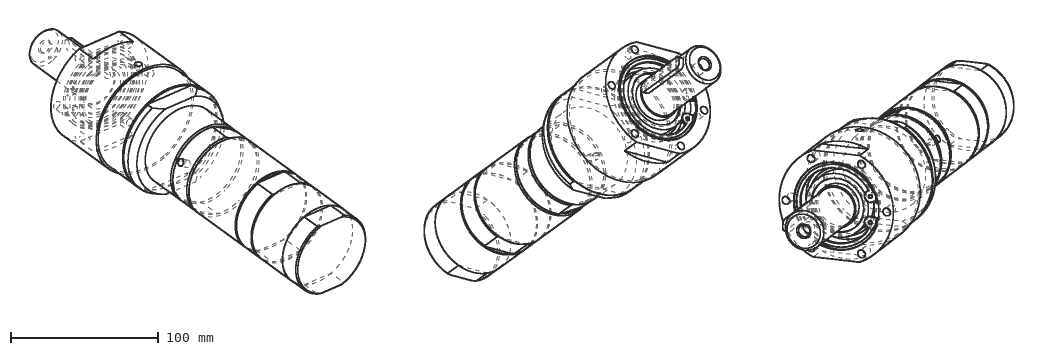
import cadquery as cq
import math


overall_length = 317.5
collar_start = 59.0
body_front = 61.0
body_flat_end = 76.5
body_step = 111.0
nut_start = 138.7
nut_bevel_start = 144.0
nut_end = 150.5
clamp_ring_start = 179.7
clamp_ring_end = 197.5
wrench_flat_start = 250.5
wrench_flat_end = 268.0
end_flat_start = 302.0

shaft_diameter = 28.0
collar_diameter = 30.0
body_diameter = 83.0
rear_body_diameter = 79.7
nut_end_diameter = 74.3
tube_diameter = 60.0
end_diameter = 59.7

shaft_chamfer = 2.0
end_chamfer = 1.0
wide_groove = 2.2
narrow_groove = 1.3

body_flat_distance = 37.8
nut_flat_distance = 35.0
tube_flat_distance = 27.5
clamp_angle = 30.0
cutter_clearance = 3.2

recess_diameter = 62.0
recess_depth = 2.0
gap_outer = 54.0
gap_step = 49.0
gap_inner = 45.0
gap_depth = 12.7
gap_step_depth = 12.0
seal_diameter = 38.0
seal_depth = 4.0
snap_ring_outer = 58.5
snap_ring_inner = 53.3
snap_ring_thickness = 1.0
snap_ring_gap = 10.8
lug_diameter = 8.3
lug_hole_diameter = 2.5
lug_y = -24.0
lug_z = 9.2

key_start = 4.8
key_length = 50.2
key_width = 8.3
key_top = 17.0

center_mouth_diameter = 10.2
center_hole_diameter = 8.3
center_hole_depth = 9.5
bolt_hole_diameter = 5.5
bolt_hole_depth = 9.5
bolt_circle_diameter = 73.0
bolt_count = 6
drill_point_angle = 118.0
radial_hole_diameter = 5.0
radial_hole_depth = 6.5
oil_hole_x = 104.0
set_screw_x = 184.5
pin_hole_diameter = 1.55


def disc(x, length, diameter):
    """Cylinder on the axis, starting at x."""
    return cq.Workplane("YZ", origin=(x, 0, 0)).circle(diameter / 2).extrude(length)


def tube(x, length, outer, inner):
    """Hollow cylinder on the axis, starting at x."""
    return disc(x, length, outer).cut(disc(x, length, inner))


def revolve_profile(points):
    """Turn a closed (x, radius) outline about the X axis."""
    return cq.Workplane("XY").polyline(points).close().revolve(360, (0, 0, 0), (1, 0, 0))


def turned_body():
    shaft_r = shaft_diameter / 2
    collar_r = collar_diameter / 2
    body_r = body_diameter / 2
    rear_r = rear_body_diameter / 2
    tube_r = tube_diameter / 2
    end_r = end_diameter / 2
    return revolve_profile([
        (0, 0),
        (0, shaft_r - shaft_chamfer),
        (shaft_chamfer, shaft_r),
        (collar_start, shaft_r),
        (collar_start, collar_r),
        (body_front, collar_r),
        (body_front, body_r),
        (body_step, body_r),
        (body_step, rear_r),
        (nut_bevel_start, rear_r),
        (nut_end, nut_end_diameter / 2),
        (nut_end, tube_r),
        (end_flat_start, tube_r),
        (end_flat_start, end_r),
        (overall_length - end_chamfer, end_r),
        (overall_length, end_r - end_chamfer),
        (overall_length, 0),
    ])


def v_groove(x, width, diameter):
    """Cutter for a 90 degree V groove centred at x."""
    radius = diameter / 2
    half = width / 2
    return revolve_profile([(x - half, radius), (x, radius - half), (x + half, radius)])


def flat_pair(start, end, distance, angle=0.0):
    """Cutter leaving two opposite flats; at angle 0 they face +Z and -Z."""
    length = end - start
    outside = disc(start, length, body_diameter + cutter_clearance)
    between = cq.Workplane("XY").box(length, 2 * body_diameter, 2 * distance)
    between = between.translate(((start + end) / 2, 0, 0))
    return outside.cut(between).rotate((0, 0, 0), (1, 0, 0), angle)


def drilled_hole(x, y, z, diameter, depth):
    """Cutter for a blind hole along +X with a conical bottom."""
    radius = diameter / 2
    point = radius / math.tan(math.radians(drill_point_angle / 2))
    hole = revolve_profile([(0, 0), (0, radius), (depth, radius), (depth + point, 0)])
    return hole.translate((x, y, z))


def radial_hole(x, outer_diameter, diameter, angle=0.0):
    """Cutter for a blind radial hole; at angle 0 it enters from +Z."""
    bottom = outer_diameter / 2 - radial_hole_depth
    hole = cq.Workplane("XY", origin=(x, 0, bottom)).circle(diameter / 2).extrude(2 * radial_hole_depth)
    return hole.rotate((0, 0, 0), (1, 0, 0), angle)


def shaft_key():
    key = cq.Workplane("XZ").center(key_start + key_length / 2, 0).slot2D(key_length, key_width)
    return key.extrude(-key_top)


def front_recess():
    """Cutter for the recess, leaving a hub ring between the seal and a deeper annular gap."""
    collar_r = collar_diameter / 2
    seal_r = seal_diameter / 2
    hub_r = gap_inner / 2
    step_r = gap_step / 2
    gap_r = gap_outer / 2
    recess_r = recess_diameter / 2
    return revolve_profile([
        (body_front, collar_r),
        (body_front, recess_r),
        (body_front + recess_depth, recess_r),
        (body_front + recess_depth, gap_r),
        (body_front + gap_depth, gap_r),
        (body_front + gap_depth, step_r),
        (body_front + gap_step_depth, step_r),
        (body_front + gap_step_depth, hub_r),
        (body_front + recess_depth, hub_r),
        (body_front + recess_depth, seal_r),
        (body_front + seal_depth, seal_r),
        (body_front + seal_depth, collar_r),
    ])


def snap_ring():
    """Open ring with two eyelets beside its gap on the -Y side."""
    front = body_front + recess_depth - snap_ring_thickness
    ring = tube(front, recess_depth, snap_ring_outer, snap_ring_inner)
    gap = cq.Workplane("XY").box(2 * recess_depth, snap_ring_outer, snap_ring_gap)
    ring = ring.cut(gap.translate((front, -snap_ring_outer / 2, 0)))
    for side in (1, -1):
        position = (0, lug_y, side * lug_z)
        ring = ring.union(disc(front, recess_depth, lug_diameter).translate(position))
        ring = ring.cut(disc(front, snap_ring_thickness, lug_hole_diameter).translate(position))
    return ring


result = turned_body()

result = result.cut(v_groove(nut_start, narrow_groove, rear_body_diameter))
for joint in (clamp_ring_start, clamp_ring_end):
    result = result.cut(v_groove(joint, wide_groove, tube_diameter))
for joint in (wrench_flat_start, wrench_flat_end):
    result = result.cut(v_groove(joint, narrow_groove, tube_diameter))

result = result.cut(flat_pair(body_front, body_flat_end, body_flat_distance))
result = result.cut(flat_pair(nut_start, nut_end, nut_flat_distance))
result = result.cut(flat_pair(clamp_ring_start, clamp_ring_end, tube_flat_distance, -clamp_angle))
result = result.cut(flat_pair(wrench_flat_start, wrench_flat_end, tube_flat_distance))
result = result.cut(flat_pair(end_flat_start, overall_length, tube_flat_distance))

result = result.cut(front_recess())
result = result.union(snap_ring())

result = result.union(shaft_key())
mouth_depth = (center_mouth_diameter - center_hole_diameter) / 2
result = result.cut(revolve_profile([
    (0, 0),
    (0, center_mouth_diameter / 2),
    (mouth_depth, center_hole_diameter / 2),
    (mouth_depth, 0),
]))
result = result.cut(drilled_hole(0, 0, 0, center_hole_diameter, center_hole_depth))

for index in range(bolt_count):
    angle = 2 * math.pi * index / bolt_count
    bolt_y = bolt_circle_diameter / 2 * math.cos(angle)
    bolt_z = bolt_circle_diameter / 2 * math.sin(angle)
    result = result.cut(drilled_hole(body_front, bolt_y, bolt_z, bolt_hole_diameter, bolt_hole_depth))

clamp_hole_angle = 90 - clamp_angle
result = result.cut(radial_hole(oil_hole_x, body_diameter, radial_hole_diameter))
result = result.cut(radial_hole(set_screw_x, tube_diameter, radial_hole_diameter, clamp_hole_angle))
result = result.cut(radial_hole(clamp_ring_start, tube_diameter, pin_hole_diameter, clamp_hole_angle))